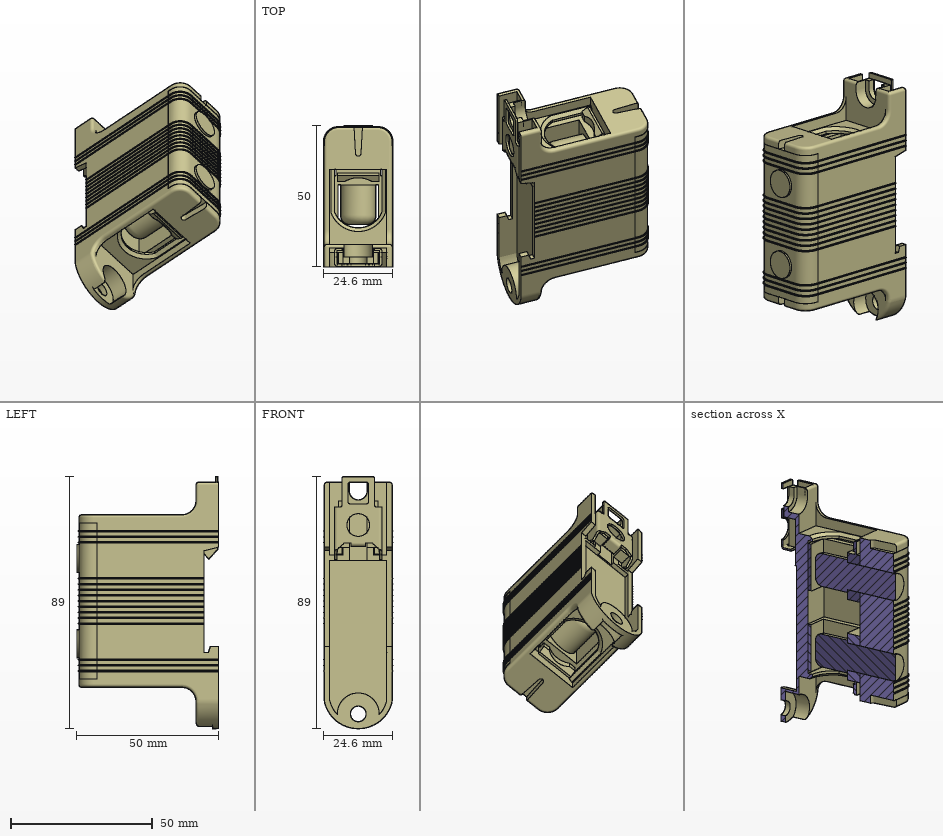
import cadquery as cq
import math

HOUSING_WIDTH = 24.0
HALF_WIDTH = HOUSING_WIDTH / 2
WALL = 2.0
INNER_HALF = HALF_WIDTH - WALL
BODY_DEPTH = 49.3
BODY_TOP = 75.6
BODY_BOTTOM = 14.6
MID_HEIGHT = (BODY_TOP + BODY_BOTTOM) / 2
EAR_DEPTH = 8.0
EAR_TOP = 87.0
COVE_RADIUS = 5.0
BACK_CORNER_RADIUS = 5.0
EDGE_FILLET = 1.1
FOOT_RADIUS = 12.3
FOOT_BLEND = 5.3

RIB_PROUD = 0.3
RIB_SLOPE = 45.0
MIDDLE_RIBS = 9
MIDDLE_RIB_SPAN = 15.9
RIB_PITCH = MIDDLE_RIB_SPAN / (MIDDLE_RIBS - 1)
OUTER_RIBS = 3
OUTER_RIB_OFFSET = 22.7
LABEL_RECESS = 0.1
LABEL_HALF_HEIGHT = 27.5
LABEL_FRONT = 43.0

POCKET_FLOOR = 6.7
POCKET_TOP = 59.4
CHANNEL_BOTTOM = 61.4
RAIL_NOTCH_DEPTH = 5.1
RAIL_NOTCH_TOP_BACK = 62.8
RAIL_NOTCH_TOP_FRONT = 64.1
RAIL_NOTCH_BOTTOM = 27.0
RAIL_HOOK_TOP = 29.1
RAIL_HOOK_ROOT = 3.65
RAIL_HOOK_TIP = 2.9
GUIDE_FRONT = 1.25
GUIDE_BOTTOM = 63.9
GUIDE_NECK_HALF = 5.4
GUIDE_RAIL_HALF = 7.0
GUIDE_RAIL_TOP = 80.5

SLOT_WIDTH = 6.2
SLOT_END_HEIGHT = 83.9
SLOT_HEAD_WIDTH = 10.0
SLOT_HEAD_SEAT = 3.5
GROOVE_TOP = 76.5
GROOVE_FLOOR = 6.2
FOOT_HOLE_DIAMETER = 5.4
FOOT_HOLE_HEIGHT = 5.25
FOOT_HEAD_DIAMETER = 12.5
FOOT_HEAD_SEAT = 2.1
FOOT_BOSS_RADIUS = 7.4

SHAFT_BACK = 34.4
SHAFT_FRONT = 12.0
SHAFT_HALF = 9.3
SHAFT_TOP = 69.8
THROAT_HALF = 8.4
ENTRY_FLOOR = 71.8
FUNNEL_BOTTOM = 70.75
FUNNEL_SPREAD = 1.3
ENTRY_ARC_START = 19.4
ENTRY_ARC_FRONT = 13.9
TEST_SLOT_FRONT = 39.2
TEST_SLOT_DEPTH = 3.0
TEST_SLOT_HALF_BACK = 1.5
TEST_SLOT_HALF_FRONT = 1.0

TERMINAL_OFFSET = 15.0
SCREW_HEAD_DIAMETER = 10.0
SCREW_HEAD_BACK = 50.0
SCREW_FOOT_DIAMETER = 12.5
SCREW_FOOT_FRONT = 14.95
SCREW_FOOT_FILLET = 3.1
CAGE_HALF_HEIGHT = 8.8
CAGE_BAR_FRONT = 29.0
CAGE_BACK = 32.3
CAGE_FRONT_BAR = 1.3
CAGE_WINDOW_HALF = 7.1
RAMP_HALF = 7.4
RAMP_TOP = 73.8
RAMP_LIP = 72.3
RAMP_UNDERSIDE = 69.8
RAMP_FRONT = 30.2
RAMP_CREST_BACK = 33.1
RAMP_ARC_RADIUS = 9.4
RAMP_ARC_BACK = 31.5
CAGE_BACK_HALF = 7.9

CLIP_FRONT = 0.3
CLIP_BACK = 6.6
CLIP_THICKNESS = 0.8
CLIP_HALF = 8.4
CLIP_BEND = 1.1
CLIP_LIP_INNER = 5.7
CLIP_SHOULDER = 78.3
CLIP_TOP = 89.0
CLIP_LIP_BOTTOM = 61.7
CLIP_TAB_WIDTH = 11.5
CLIP_TAB_HALF = CLIP_TAB_WIDTH / 2
CLIP_TAB_CORNER = 0.5
CLIP_WINDOW_HALF = 3.65
CLIP_WINDOW_TOP = 86.95
CLIP_WINDOW_BOTTOM = 79.4
CLIP_WINDOW_CORNER = 0.8
CLIP_HOLE_DIAMETER = 8.0
CLIP_HOLE_HEIGHT = 71.9
CLIP_PLATE_BOTTOM = 65.5
CLIP_PLATE_BOTTOM_HALF = 5.0
CLIP_CATCH_FRONT = 63.4
CLIP_CATCH_TIP_Y = 3.5
CLIP_CATCH_TIP = 59.8
TONGUE_WIDTH = 5.25
TONGUE_HALF = TONGUE_WIDTH / 2
TONGUE_RADIUS = 1.2
TONGUE_END = 4.45


def box(x_half, y_front, y_back, z_bottom, z_top):
    """Box centred on x = 0."""
    size = (2 * x_half, y_back - y_front, z_top - z_bottom)
    return cq.Workplane("XY").box(*size, centered=(True, False, False)).translate((0, y_front, z_bottom))


def rod(diameter, height, y_front, y_back):
    """Cylinder along Y on x = 0."""
    plane = cq.Workplane("XZ", origin=(0, y_front, height))
    return plane.circle(diameter / 2).extrude(y_front - y_back)


def upright_slot(width, z_center, y_front, y_back):
    """Slot along Z with a round lower end, open at the top of the ear."""
    run = box(width / 2, y_front, y_back, z_center, CLIP_TOP)
    return run.union(rod(width, z_center, y_front, y_back))


def both_ends(upper):
    """The shape and its mirror image below mid height."""
    return upper.union(upper.mirror("XY", (0, 0, MID_HEIGHT)))


def front_outline(inset, y_front, y_back):
    """Upright outline with the rounded lower end, extruded along Y."""
    half = HALF_WIDTH - inset
    radius = FOOT_RADIUS - inset
    side_end = FOOT_RADIUS - math.sqrt(radius**2 - half**2)
    return (
        cq.Workplane("XZ", origin=(0, y_front, 0))
        .moveTo(-half, EAR_TOP)
        .lineTo(-half, side_end)
        .threePointArc((0, inset), (half, side_end))
        .lineTo(half, EAR_TOP)
        .close()
        .extrude(y_front - y_back)
    )


def wrap_outline(proud, y_front):
    """Level outline that follows the sides and the rounded back of the body at a given offset."""
    y_back = BODY_DEPTH + proud
    outline = cq.Sketch().rect(2 * (HALF_WIDTH + proud), y_back - y_front)
    outline = outline.vertices(">Y").fillet(BACK_CORNER_RADIUS + proud)
    return outline.moved(cq.Location(cq.Vector(0, (y_front + y_back) / 2, 0)))


def wrap_layer(proud, y_front, z_bottom, z_top):
    outline = wrap_outline(proud, y_front)
    return cq.Workplane("XY", origin=(0, 0, z_bottom)).placeSketch(outline).extrude(z_top - z_bottom)


def outer_block():
    cove = COVE_RADIUS
    diagonal = cove * math.sqrt(0.5)
    upper_y = EAR_DEPTH + cove
    upper_z = BODY_TOP + cove
    lower_z = BODY_BOTTOM - cove
    side = (
        cq.Workplane("YZ", origin=(-HALF_WIDTH, 0, 0))
        .moveTo(0, 0)
        .lineTo(0, EAR_TOP)
        .lineTo(EAR_DEPTH, EAR_TOP)
        .lineTo(EAR_DEPTH, upper_z)
        .threePointArc((upper_y - diagonal, upper_z - diagonal), (upper_y, BODY_TOP))
        .lineTo(BODY_DEPTH, BODY_TOP)
        .lineTo(BODY_DEPTH, BODY_BOTTOM)
        .lineTo(upper_y, BODY_BOTTOM)
        .threePointArc((upper_y - diagonal, lower_z + diagonal), (EAR_DEPTH, lower_z))
        .lineTo(EAR_DEPTH, 0)
        .close()
        .extrude(HOUSING_WIDTH)
    )
    side = side.edges("|Z and >Y").fillet(BACK_CORNER_RADIUS)
    foot = front_outline(0, 0, BODY_DEPTH)
    corner_height = FOOT_RADIUS - math.sqrt(FOOT_RADIUS**2 - HALF_WIDTH**2)
    around_corners = cq.selectors.BoxSelector(
        (-HOUSING_WIDTH, -EDGE_FILLET, corner_height - EDGE_FILLET),
        (HOUSING_WIDTH, BODY_DEPTH + EDGE_FILLET, corner_height + EDGE_FILLET),
    )
    foot = foot.edges("|Y").edges(around_corners).fillet(FOOT_BLEND)
    block = side.intersect(foot)
    rounded = block.faces("<X or >X").edges("not <Y").add(block.faces(">Z").edges("not <Y"))
    return rounded.fillet(EDGE_FILLET)


def rib(middle):
    """Rib of triangular section around the sides and the back at one height."""
    outline = wrap_outline(RIB_PROUD, 0)
    plane = cq.Workplane("XY", origin=(0, 0, middle)).placeSketch(outline)
    upper = plane.extrude(RIB_PROUD, taper=RIB_SLOPE)
    lower = plane.extrude(-RIB_PROUD, taper=RIB_SLOPE)
    return upper.union(lower)


def rib_heights():
    groups = (
        (MID_HEIGHT, MIDDLE_RIBS),
        (MID_HEIGHT + OUTER_RIB_OFFSET, OUTER_RIBS),
        (MID_HEIGHT - OUTER_RIB_OFFSET, OUTER_RIBS),
    )
    return [
        group_middle + (index - (count - 1) / 2) * RIB_PITCH
        for group_middle, count in groups
        for index in range(count)
    ]


def label_recess():
    """Shallow step around the back that takes a label."""
    bottom = MID_HEIGHT - LABEL_HALF_HEIGHT
    top = MID_HEIGHT + LABEL_HALF_HEIGHT
    inside = wrap_layer(-LABEL_RECESS, LABEL_FRONT, bottom, top)
    return wrap_layer(RIB_PROUD, LABEL_FRONT, bottom, top).cut(inside)


def rail_notch():
    """Opening across the front for the mounting rail."""
    return (
        cq.Workplane("YZ", origin=(-HOUSING_WIDTH, 0, 0))
        .polyline([
            (0, RAIL_NOTCH_TOP_FRONT),
            (RAIL_NOTCH_DEPTH, RAIL_NOTCH_TOP_BACK),
            (RAIL_NOTCH_DEPTH, RAIL_NOTCH_BOTTOM),
            (RAIL_HOOK_ROOT, RAIL_NOTCH_BOTTOM),
            (RAIL_HOOK_TIP, RAIL_HOOK_TOP),
            (0, RAIL_HOOK_TOP),
        ])
        .close()
        .extrude(2 * HOUSING_WIDTH)
    )


def front_pocket():
    """Pocket below the clip, around the boss of the lower mounting hole."""
    below = box(HALF_WIDTH, 0, POCKET_FLOOR, 0, POCKET_TOP)
    boss = rod(2 * FOOT_BOSS_RADIUS, FOOT_HOLE_HEIGHT, 0, POCKET_FLOOR)
    return front_outline(WALL, 0, POCKET_FLOOR).intersect(below).cut(boss)


def clip_channel():
    """Space for the clip, around the T-shaped guide it slides on."""
    channel = box(INNER_HALF, 0, POCKET_FLOOR, CHANNEL_BOTTOM, EAR_TOP)
    neck = box(GUIDE_NECK_HALF, GUIDE_FRONT, POCKET_FLOOR, GUIDE_BOTTOM, EAR_TOP)
    foot = box(GUIDE_NECK_HALF, RAIL_NOTCH_DEPTH, POCKET_FLOOR, CHANNEL_BOTTOM, GUIDE_BOTTOM)
    rails = box(GUIDE_RAIL_HALF, GUIDE_FRONT, RAIL_NOTCH_DEPTH, GUIDE_BOTTOM, GUIDE_RAIL_TOP)
    return channel.cut(neck).cut(foot).cut(rails)


def funnel():
    """Wire entry that narrows from the recess floor down to the shaft."""
    def outline(sketch, spread):
        half = THROAT_HALF + spread
        return (
            sketch.moveTo(-half, SHAFT_BACK)
            .lineTo(-half, ENTRY_ARC_START)
            .threePointArc((0, ENTRY_ARC_FRONT - spread), (half, ENTRY_ARC_START))
            .lineTo(half, SHAFT_BACK)
            .close()
        )
    throat = outline(cq.Workplane("XY", origin=(0, 0, SHAFT_TOP)), 0).extrude(FUNNEL_BOTTOM - SHAFT_TOP)
    lower = outline(cq.Workplane("XY", origin=(0, 0, FUNNEL_BOTTOM)), 0)
    upper = lower.workplane(offset=ENTRY_FLOOR - FUNNEL_BOTTOM)
    return throat.union(outline(upper, FUNNEL_SPREAD).loft(ruled=True))


def wire_entry():
    recess = box(INNER_HALF, EAR_DEPTH, SHAFT_BACK, ENTRY_FLOOR, EAR_TOP)
    return recess.union(funnel())


def test_slot():
    """Tapered slot at the back of the top face."""
    round_center = TEST_SLOT_FRONT + TEST_SLOT_HALF_FRONT
    return (
        cq.Workplane("XY", origin=(0, 0, BODY_TOP - TEST_SLOT_DEPTH))
        .moveTo(-TEST_SLOT_HALF_BACK, SCREW_HEAD_BACK)
        .lineTo(-TEST_SLOT_HALF_FRONT, round_center)
        .threePointArc((0, TEST_SLOT_FRONT), (TEST_SLOT_HALF_FRONT, round_center))
        .lineTo(TEST_SLOT_HALF_BACK, SCREW_HEAD_BACK)
        .close()
        .extrude(EAR_TOP - BODY_TOP)
    )


def make_housing():
    housing = outer_block().cut(label_recess())
    for height in rib_heights():
        housing = housing.union(rib(height))

    groove = box(SLOT_WIDTH / 2, 0, GROOVE_FLOOR, POCKET_TOP, GROOVE_TOP)
    housing = housing.cut(rail_notch()).cut(front_pocket()).cut(clip_channel()).cut(groove)

    housing = housing.cut(upright_slot(SLOT_WIDTH, SLOT_END_HEIGHT, 0, EAR_DEPTH))
    housing = housing.cut(upright_slot(SLOT_HEAD_WIDTH, SLOT_END_HEIGHT, SLOT_HEAD_SEAT, EAR_DEPTH))
    housing = housing.cut(rod(FOOT_HOLE_DIAMETER, FOOT_HOLE_HEIGHT, 0, EAR_DEPTH))
    housing = housing.cut(rod(FOOT_HEAD_DIAMETER, FOOT_HOLE_HEIGHT, FOOT_HEAD_SEAT, EAR_DEPTH))

    shaft_bottom = 2 * MID_HEIGHT - SHAFT_TOP
    housing = housing.cut(box(SHAFT_HALF, SHAFT_FRONT, SHAFT_BACK, shaft_bottom, SHAFT_TOP))
    housing = housing.cut(both_ends(wire_entry())).cut(both_ends(test_slot()))
    screw_bore = rod(SCREW_HEAD_DIAMETER, MID_HEIGHT + TERMINAL_OFFSET, SHAFT_BACK, SCREW_HEAD_BACK)
    return housing.cut(both_ends(screw_bore))


def make_cage():
    """Upper wire cage: a frame open along Z, with an overhanging arc-cut ramp on its rear bar."""
    axis = MID_HEIGHT + TERMINAL_OFFSET
    bottom = axis - CAGE_HALF_HEIGHT
    top = axis + CAGE_HALF_HEIGHT
    frame = box(SHAFT_HALF, SHAFT_FRONT, CAGE_BACK, bottom, top)
    window = box(CAGE_WINDOW_HALF, SHAFT_FRONT + CAGE_FRONT_BAR, CAGE_BAR_FRONT, bottom, top)
    back = box(CAGE_BACK_HALF, CAGE_BACK, SHAFT_BACK, bottom, top)
    ramp = (
        cq.Workplane("YZ", origin=(-RAMP_HALF, 0, 0))
        .polyline([
            (RAMP_CREST_BACK, top),
            (RAMP_CREST_BACK, RAMP_TOP),
            (CAGE_BACK, RAMP_TOP),
            (RAMP_FRONT, RAMP_LIP),
            (RAMP_FRONT, RAMP_UNDERSIDE),
            (CAGE_BACK, RAMP_UNDERSIDE),
            (CAGE_BACK, top),
        ])
        .close()
        .extrude(2 * RAMP_HALF)
    )
    arc_center = (0, RAMP_ARC_BACK - RAMP_ARC_RADIUS, RAMP_UNDERSIDE)
    arc_cut = cq.Workplane("XY", origin=arc_center).circle(RAMP_ARC_RADIUS).extrude(RAMP_TOP - RAMP_UNDERSIDE)
    bore = rod(SCREW_HEAD_DIAMETER, axis, CAGE_BAR_FRONT, SHAFT_BACK)
    return frame.cut(window).union(back).union(ramp.cut(arc_cut)).cut(bore)


def make_screw():
    """Upper terminal screw, its head reaching through the back of the housing."""
    axis = MID_HEIGHT + TERMINAL_OFFSET
    foot = rod(SCREW_FOOT_DIAMETER, axis, SCREW_FOOT_FRONT, CAGE_BAR_FRONT)
    foot = foot.faces("<Y").edges().fillet(SCREW_FOOT_FILLET)
    return foot.union(rod(SCREW_HEAD_DIAMETER, axis, CAGE_BAR_FRONT, SCREW_HEAD_BACK))


def clip_side_blank():
    """Side outline of the clip with the rail catch at its lower end."""
    return (
        cq.Workplane("YZ", origin=(-CLIP_HALF, 0, 0))
        .polyline([
            (CLIP_FRONT, CLIP_SHOULDER),
            (CLIP_FRONT, CLIP_CATCH_FRONT),
            (CLIP_CATCH_TIP_Y, CLIP_CATCH_TIP),
            (RAIL_NOTCH_DEPTH, CLIP_LIP_BOTTOM),
            (CLIP_BACK, CLIP_LIP_BOTTOM),
            (CLIP_BACK, CLIP_SHOULDER),
        ])
        .close()
        .extrude(2 * CLIP_HALF)
    )


def clip_tab():
    tab = box(CLIP_TAB_HALF, CLIP_FRONT, CLIP_FRONT + CLIP_THICKNESS, CLIP_SHOULDER, CLIP_TOP)
    tab = tab.edges("|Y and >Z").fillet(CLIP_TAB_CORNER)
    window = box(CLIP_WINDOW_HALF, 0, CLIP_BACK, CLIP_WINDOW_BOTTOM, CLIP_WINDOW_TOP)
    return tab.cut(window.edges("|Y").fillet(CLIP_WINDOW_CORNER))


def clip_tongue():
    """Tongue bent from the lower edge of the plate back into the spring groove."""
    bend_back = CLIP_FRONT + TONGUE_RADIUS
    bottom = CLIP_PLATE_BOTTOM - TONGUE_RADIUS
    top = bottom + CLIP_THICKNESS
    inner = TONGUE_RADIUS - CLIP_THICKNESS
    diagonal = math.sqrt(0.5)
    return (
        cq.Workplane("YZ", origin=(-TONGUE_HALF, 0, 0))
        .moveTo(CLIP_FRONT, CLIP_PLATE_BOTTOM)
        .threePointArc(
            (bend_back - TONGUE_RADIUS * diagonal, CLIP_PLATE_BOTTOM - TONGUE_RADIUS * diagonal),
            (bend_back, bottom),
        )
        .lineTo(TONGUE_END, bottom)
        .lineTo(TONGUE_END, top)
        .lineTo(bend_back, top)
        .threePointArc(
            (bend_back - inner * diagonal, CLIP_PLATE_BOTTOM - inner * diagonal),
            (bend_back - inner, CLIP_PLATE_BOTTOM),
        )
        .close()
        .extrude(2 * TONGUE_HALF)
    )


def make_clip():
    """Sheet metal rail clip: C-shaped slide, pull tab, lower catches and spring tongue."""
    inner_half = CLIP_HALF - CLIP_THICKNESS
    inner_back = CLIP_BACK - CLIP_THICKNESS
    slide = box(CLIP_HALF, CLIP_FRONT, CLIP_BACK, CLIP_CATCH_TIP, CLIP_SHOULDER)
    slide = slide.edges("|Z").fillet(CLIP_BEND)
    slide = slide.cut(box(inner_half, CLIP_FRONT + CLIP_THICKNESS, inner_back, CLIP_CATCH_TIP, CLIP_SHOULDER))
    slide = slide.cut(box(CLIP_LIP_INNER, inner_back, CLIP_BACK, CLIP_CATCH_TIP, CLIP_SHOULDER))
    slide = slide.intersect(clip_side_blank())

    bend_half = CLIP_HALF - CLIP_BEND
    relief = (
        cq.Workplane("XZ")
        .polyline([
            (-bend_half, CLIP_CATCH_TIP),
            (-bend_half, CLIP_CATCH_FRONT),
            (-CLIP_PLATE_BOTTOM_HALF, CLIP_PLATE_BOTTOM),
            (CLIP_PLATE_BOTTOM_HALF, CLIP_PLATE_BOTTOM),
            (bend_half, CLIP_CATCH_FRONT),
            (bend_half, CLIP_CATCH_TIP),
        ])
        .close()
        .extrude(-CLIP_FRONT - CLIP_THICKNESS)
    )
    plate_hole = rod(CLIP_HOLE_DIAMETER, CLIP_HOLE_HEIGHT, 0, CLIP_FRONT + CLIP_THICKNESS)
    clip = slide.cut(relief).cut(plate_hole).union(clip_tab())

    around_tab_foot = cq.selectors.BoxSelector(
        (-CLIP_TAB_HALF - CLIP_TAB_CORNER, 0, CLIP_SHOULDER - CLIP_TAB_CORNER),
        (CLIP_TAB_HALF + CLIP_TAB_CORNER, CLIP_BACK, CLIP_SHOULDER + CLIP_TAB_CORNER),
    )
    clip = clip.edges("|Y").edges(around_tab_foot).fillet(CLIP_TAB_CORNER)
    return clip.union(clip_tongue())


housing = make_housing()
clip = make_clip()
terminals = []
for make_body in (make_cage, make_screw):
    upper_body = make_body()
    terminals.append(upper_body.val())
    terminals.append(upper_body.mirror("XY", (0, 0, MID_HEIGHT)).val())

result = cq.Compound.makeCompound([housing.val(), clip.val(), *terminals])